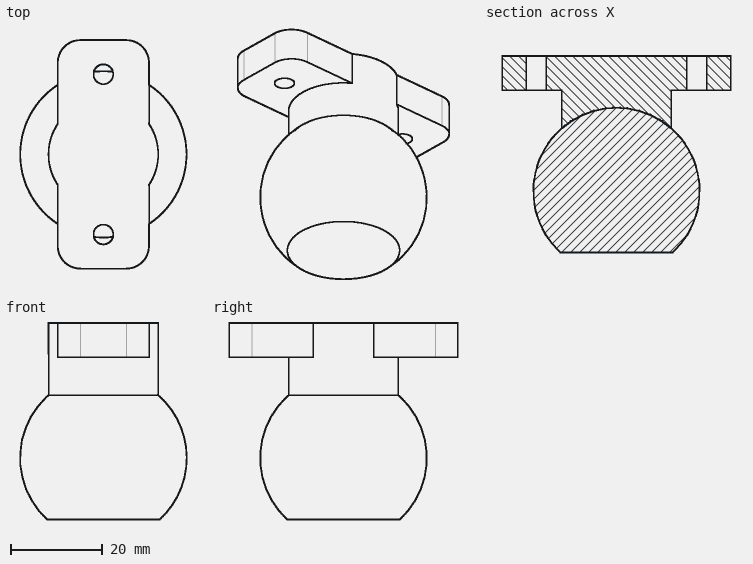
import cadquery as cq

ball_diameter = 36.5
ball_center_height = 13.5
total_height = 43.0

neck_diameter = 24.0

flange_length = 50.0
flange_width = 20.0
flange_thickness = 7.5
flange_corner_radius = 5.0

screw_hole_diameter = 4.3
screw_hole_spacing = 35.0

foot_z = -ball_center_height
top_z = foot_z + total_height
flange_bottom_z = top_z - flange_thickness


def full_sphere():
    """Sphere that sets both the ball surface and the seat under the neck."""
    return cq.Workplane("XY").sphere(ball_diameter / 2)


def make_ball():
    """Ball with a flat foot."""
    foot_cutter = cq.Workplane("XY").workplane(offset=foot_z).circle(ball_diameter).extrude(-ball_diameter)
    return full_sphere().cut(foot_cutter)


def make_mount():
    """Flange and round neck in one piece, seated on the ball."""
    neck = cq.Workplane("XY").circle(neck_diameter / 2).extrude(top_z)
    flange = (
        cq.Workplane("XY")
        .workplane(offset=flange_bottom_z)
        .rect(flange_width, flange_length)
        .extrude(flange_thickness)
        .edges("|Z")
        .fillet(flange_corner_radius)
    )
    screw_holes = (
        cq.Workplane("XY")
        .workplane(offset=flange_bottom_z)
        .rarray(1, screw_hole_spacing, 1, 2)
        .circle(screw_hole_diameter / 2)
        .extrude(flange_thickness)
    )
    return neck.union(flange).cut(screw_holes).cut(full_sphere())


ball = make_ball()
mount = make_mount()

result = cq.Compound.makeCompound([ball.val(), *mount.vals()])